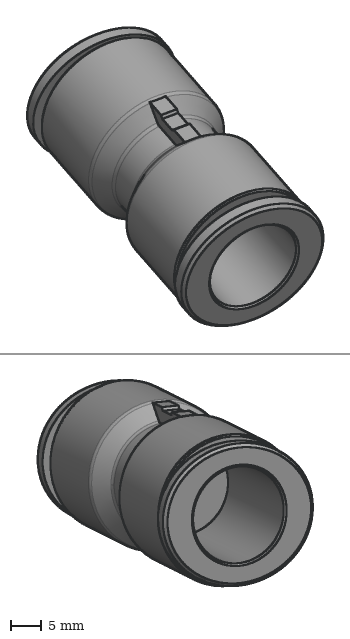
import cadquery as cq

length = 52.0
half_length = length / 2

flange_thickness = 2.6
flange_width = 27.0
flange_height = 24.0
flange_chamfer = 0.55

sleeve_radius = 9.45
body_start = 3.85

body_radius = 12.8
body_chamfer = 0.3
waist_radius = 9.85
waist_half_length = 3.0
cone_fillet = 0.95
cone_outer = waist_half_length + body_radius - waist_radius

rib_width = 3.0
rib_height = 12.55
rib_end_overlap = 0.4
rib_half_length = cone_outer + rib_end_overlap
notch_depth = 0.5
notch_top_half_length = 2.1
notch_floor_half_length = 1.65

bore_radius = 8.15
bore_chamfer = 0.35
bore_depth = half_length - waist_half_length


def make_body():
    """Turned body: two drums joined by cones to the waist, with sleeves at the ends."""
    sleeve_end = half_length - flange_thickness
    drum_end = half_length - body_start
    drum_profile = [
        (-drum_end, 0),
        (-drum_end, body_radius - body_chamfer),
        (-drum_end + body_chamfer, body_radius),
        (-cone_outer, body_radius),
        (-waist_half_length, waist_radius),
        (waist_half_length, waist_radius),
        (cone_outer, body_radius),
        (drum_end - body_chamfer, body_radius),
        (drum_end, body_radius - body_chamfer),
        (drum_end, 0),
    ]
    drums = cq.Workplane("XY").polyline(drum_profile).close().revolve(360, (0, 0, 0), (1, 0, 0))
    reach = (cone_outer + cone_fillet, body_radius, body_radius)
    cone_edges = cq.selectors.BoxSelector(tuple(-side for side in reach), reach)
    drums = drums.edges("%CIRCLE").edges(cone_edges).fillet(cone_fillet)
    sleeve = cq.Workplane("YZ").circle(sleeve_radius).extrude(sleeve_end, both=True)
    return drums.union(sleeve)


def make_flange():
    """Oval flange at the -X end, chamfered on its outer face."""
    return (
        cq.Workplane("YZ", origin=(-half_length, 0, 0))
        .ellipse(flange_width / 2, flange_height / 2)
        .extrude(flange_thickness)
        .faces("<X")
        .chamfer(flange_chamfer)
    )


def make_bore():
    """Blind tube socket entering from the -X end, with a chamfered mouth."""
    profile = [
        (-half_length, 0),
        (-half_length, bore_radius + bore_chamfer),
        (-half_length + bore_chamfer, bore_radius),
        (-half_length + bore_depth, bore_radius),
        (-half_length + bore_depth, 0),
    ]
    return cq.Workplane("XY").polyline(profile).close().revolve(360, (0, 0, 0), (1, 0, 0))


def make_rib_plate():
    """Plate through the waist that forms both ribs; only the upper one is notched."""
    notch_floor = rib_height - notch_depth
    profile = [
        (-rib_half_length, -rib_height),
        (rib_half_length, -rib_height),
        (rib_half_length, rib_height),
        (notch_top_half_length, rib_height),
        (notch_floor_half_length, notch_floor),
        (-notch_floor_half_length, notch_floor),
        (-notch_top_half_length, rib_height),
        (-rib_half_length, rib_height),
    ]
    return cq.Workplane("XZ").polyline(profile).close().extrude(rib_width / 2, both=True)


flange = make_flange()
bore = make_bore()

result = (
    make_body()
    .union(make_rib_plate())
    .union(flange)
    .union(flange.mirror("YZ"))
    .cut(bore)
    .cut(bore.mirror("YZ"))
)